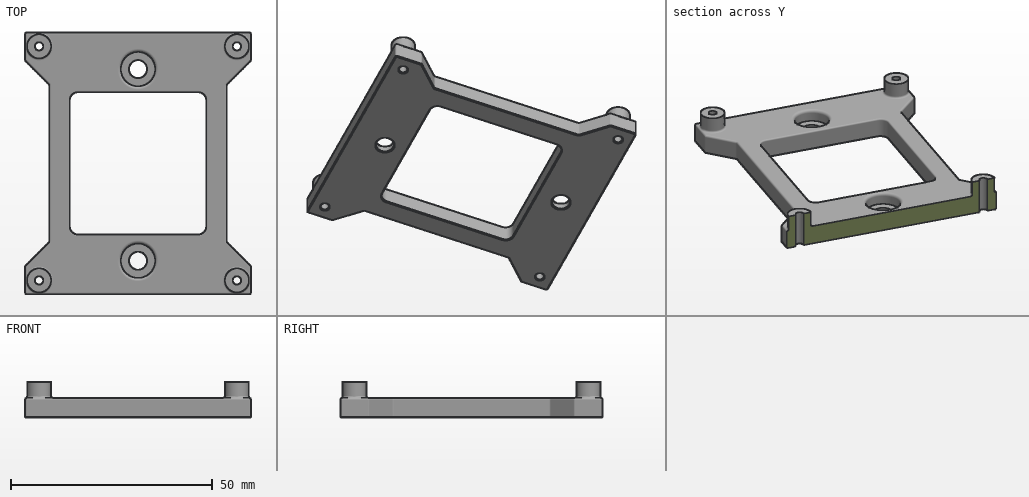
import cadquery as cq

plate_width = 56.0
plate_length = 65.0
plate_thickness = 5.0
total_height = 9.0

waist_width = 44.0
end_block_length = 7.0
shoulder = (plate_width - waist_width) / 2

edge_round = 0.5
bottom_chamfer = 0.25

window_width = 33.8
window_length = 35.2
window_corner_radius = 2.0
window_edge_round = 0.4

standoff_radius = 6.0 / 2
pilot_diameter = 2.0
standoff_x = plate_width / 2 - standoff_radius - edge_round
standoff_y = plate_length / 2 - standoff_radius - edge_round
standoff_points = [(x, y) for x in (-standoff_x, standoff_x) for y in (-standoff_y, standoff_y)]

screw_spacing = 47.5
screw_pair_y = -0.4
screw_hole_diameter = 4.4
counterbore_radius = 8.5 / 2
counterbore_depth = 3.0
counterbore_rim_round = 0.8
screw_points = [(0, screw_pair_y + side * screw_spacing / 2) for side in (-1, 1)]

tolerance = 0.005


def cylinders(points, radius, bottom, top):
    """Upright cylinders between two heights, one at each point."""
    return cq.Workplane("XY", origin=(0, 0, bottom)).pushPoints(points).circle(radius).extrude(top - bottom)


def fillet_circles_on_plate_top(body, circle_radius, fillet_radius):
    """Fillet the circular edges of one radius that lie on the flat top of the plate."""
    matching_edges = [
        edge
        for edge in body.edges("%CIRCLE").vals()
        if abs(edge.radius() - circle_radius) < tolerance
        and abs(edge.Center().z - plate_thickness) < tolerance
    ]
    return body.newObject(matching_edges).fillet(fillet_radius)


def make_waisted_block():
    """Plate outline with wide ends and a narrow waist, its vertical corners rounded."""
    half_width = plate_width / 2
    half_length = plate_length / 2
    half_waist = waist_width / 2
    block_y = half_length - end_block_length
    waist_y = block_y - shoulder
    right_side = [
        (half_width, -half_length),
        (half_width, -block_y),
        (half_waist, -waist_y),
        (half_waist, waist_y),
        (half_width, block_y),
        (half_width, half_length),
    ]
    left_side = [(-x, -y) for x, y in right_side]
    block = cq.Workplane("XY").polyline(right_side + left_side).close().extrude(plate_thickness)
    return block.edges("|Z").fillet(edge_round)


def make_window():
    """Solid to remove for the central window."""
    window = cq.Workplane("XY").rect(window_width, window_length).extrude(plate_thickness)
    return window.edges("|Z").fillet(window_corner_radius)


plate = make_waisted_block().faces(">Z").edges().fillet(edge_round)
plate = plate.cut(make_window())
shortest_wire = cq.selectors.LengthNthSelector(0)
plate = plate.faces(">Z").wires(shortest_wire).edges().fillet(window_edge_round)

result = plate.union(cylinders(standoff_points, standoff_radius, 0, total_height))
result = fillet_circles_on_plate_top(result, standoff_radius, edge_round)

counterbore_floor = plate_thickness - counterbore_depth
result = result.cut(cylinders(screw_points, counterbore_radius, counterbore_floor, plate_thickness))
result = fillet_circles_on_plate_top(result, counterbore_radius, counterbore_rim_round)

result = result.cut(cylinders(screw_points, screw_hole_diameter / 2, 0, plate_thickness))
result = result.cut(cylinders(standoff_points, pilot_diameter / 2, 0, total_height))

result = result.faces("<Z").edges().chamfer(bottom_chamfer)